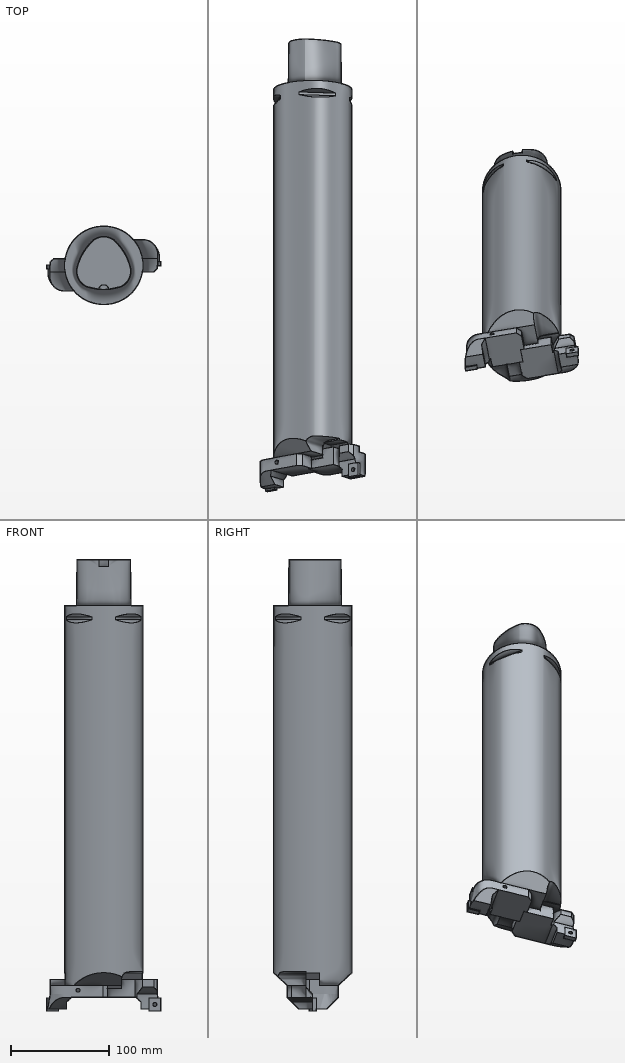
import cadquery as cq
import math

overall_height = 459.0
shoulder_z = 412.5
bar_bottom_z = 26.0
plate_bottom_z = 14.0
block_top_z = 32.0
arm_bottom_z = 2.0

bar_radius = 80.0 / 2
nose_half_width = 26.0
nose_top_z = 39.0
seat_inner_x = 18.0
slot_half_width = 7.0
slot_top_z = 38.5
gullet_top_z = 40.0
gullet_radius = 8.3

lobe_reach = 29.0
flank_reach = 24.5
lobe_edge_reach = 27.5
lobe_half_angle = 21.5
coupling_flare = 0.5
key_notch_radius = 5.0
key_notch_depth = 7.0
key_notch_y = -25.0

groove_z = 399.5
groove_depth = 4.5
groove_floor_width = 2.8
groove_mouth_width = 9.0
groove_angles = (45, 135, 225, 315)

plate_back_y = nose_half_width
plate_corner_radius = 14.2
arm_corner_radius = 19.0
plate_end_x = -3.5
plate_end_chamfer = 4.5
head_end_x = 54.5
head_end_chamfer = 3.5
arm_end_x = 57.0
flare_top_z = 17.0
ledge_z = 23.0
ledge_depth = 2.5
arm_root_x = 33.0
arm_inner_x = 37.5
rake_y = -0.5
chip_pocket_x = 31.5
chip_pocket_top_z = 24.5
chip_pocket_low_z = 17.5
scoop_end_x = 39.5
scoop_depth = 9.0
plate_hole_x = 26.0
plate_hole_z = 21.0
plate_hole_diameter = 4.0
plate_hole_depth = 4.5

insert_inner_x = 46.0
insert_outer_x = 116.0 / 2
insert_height = 13.5
insert_thickness = 4.0
insert_hole_diameter = 4.0

margin = 4.5
head_angles = (0, 180)


def box(x_range, y_range, z_range):
    """Axis-aligned block between the given limits."""
    (x0, x1), (y0, y1), (z0, z1) = x_range, y_range, z_range
    return cq.Workplane("XY").box(x1 - x0, y1 - y0, z1 - z0, centered=False).translate((x0, y0, z0))


def about_axis(shape, angle):
    """Shape turned about the tool axis."""
    return shape.rotate((0, 0, 0), (0, 0, 1), angle)


def polar(radius, angle):
    return (radius * math.cos(math.radians(angle)), radius * math.sin(math.radians(angle)))


def lobed_outline(plane, growth):
    """Three rounded lobes joined by three flatter arcs, one lobe pointing to +Y."""
    outline = plane.moveTo(*polar(lobe_edge_reach + growth, 90 - lobe_half_angle))
    for lobe_angle in (90, 210, 330):
        outline = outline.threePointArc(
            polar(lobe_reach + growth, lobe_angle),
            polar(lobe_edge_reach + growth, lobe_angle + lobe_half_angle),
        ).threePointArc(
            polar(flank_reach + growth, lobe_angle + 60),
            polar(lobe_edge_reach + growth, lobe_angle + 120 - lobe_half_angle),
        )
    return outline.close()


def make_coupling():
    """Tapered coupling shank with a key notch in its top edge."""
    root = lobed_outline(cq.Workplane("XY").workplane(offset=shoulder_z), coupling_flare)
    shank = lobed_outline(root.workplane(offset=overall_height - shoulder_z), 0).loft(ruled=True)
    notch = (
        cq.Workplane("XY", origin=(0, key_notch_y, overall_height - key_notch_depth))
        .circle(key_notch_radius)
        .extrude(key_notch_depth + margin)
    )
    return shank.cut(notch)


def make_groove():
    """Cutter for one gripper groove on the +X side: a straight trapezoidal channel."""
    floor_x = bar_radius - groove_depth
    half_floor = groove_floor_width / 2
    half_mouth = groove_mouth_width / 2
    return (
        cq.Workplane("XZ")
        .polyline([
            (floor_x, groove_z - half_floor),
            (bar_radius, groove_z - half_mouth),
            (bar_radius, groove_z + half_mouth),
            (floor_x, groove_z + half_floor),
        ])
        .close()
        .extrude(bar_radius, both=True)
    )


def make_nose_bevel():
    """Cutter that slopes the -Y side of the lower end."""
    return (
        cq.Workplane("YZ")
        .polyline([
            (-nose_half_width, bar_bottom_z),
            (-bar_radius, nose_top_z),
            (-bar_radius - margin, nose_top_z),
            (-bar_radius - margin, bar_bottom_z),
        ])
        .close()
        .extrude(bar_radius, both=True)
    )


def make_head_seat():
    """Cutter for the slot that takes the block of the +X head and for the gullet beside it."""
    outer_x = bar_radius + margin
    low_z = bar_bottom_z - margin
    slot = box((seat_inner_x, outer_x), (-slot_half_width, slot_half_width), (low_z, slot_top_z))
    gullet = box((seat_inner_x, outer_x), (-outer_x, -slot_half_width), (low_z, gullet_top_z))
    gullet = gullet.edges("<X and >Z").fillet(gullet_radius)
    return slot.union(gullet)


def make_bar():
    bar = (
        cq.Workplane("XY", origin=(0, 0, bar_bottom_z))
        .circle(bar_radius)
        .extrude(shoulder_z - bar_bottom_z)
        .union(make_coupling())
    )
    for angle in groove_angles:
        bar = bar.cut(about_axis(make_groove(), angle))
    for angle in head_angles:
        bar = bar.cut(about_axis(make_nose_bevel(), angle))
        bar = bar.cut(about_axis(make_head_seat(), angle))
    return bar


def head_outline(plane, end_x, corner_radius):
    """Plan of the +X head: block at -Y, plate with a round corner at +Y."""
    corner_x = end_x - corner_radius
    corner_y = plate_back_y - corner_radius
    diagonal = corner_radius * math.sqrt(0.5)
    return (
        plane.moveTo(0, -slot_half_width)
        .lineTo(end_x - head_end_chamfer, -slot_half_width)
        .lineTo(end_x, head_end_chamfer - slot_half_width)
        .lineTo(end_x, corner_y)
        .threePointArc((corner_x + diagonal, corner_y + diagonal), (corner_x, plate_back_y))
        .lineTo(plate_end_x + plate_end_chamfer, plate_back_y)
        .lineTo(plate_end_x, plate_back_y - plate_end_chamfer)
        .lineTo(plate_end_x, slot_half_width)
        .lineTo(0, slot_half_width)
        .close()
    )


def make_head_blank():
    """Plate, seated block, and arm whose end slopes outward below the plate."""
    arm = head_outline(cq.Workplane("XY", origin=(0, 0, arm_bottom_z)), arm_end_x, arm_corner_radius)
    arm = arm.workplane(offset=flare_top_z - arm_bottom_z)
    arm = head_outline(arm, head_end_x, plate_corner_radius).loft(ruled=True)
    plate = head_outline(cq.Workplane("XY", origin=(0, 0, flare_top_z)), head_end_x, plate_corner_radius)
    plate = plate.extrude(bar_bottom_z - flare_top_z)
    block = box(
        (seat_inner_x, head_end_x),
        (-slot_half_width, slot_half_width),
        (bar_bottom_z, block_top_z),
    )
    block = block.edges("|Z and >X and <Y").chamfer(head_end_chamfer)
    return plate.union(arm).union(block)


def make_underside_clearance():
    """Cutter below the plate, leaving only the arm at the outer end."""
    bend = arm_inner_x - arm_root_x
    return (
        cq.Workplane("XZ")
        .moveTo(plate_end_x - margin, plate_bottom_z)
        .lineTo(arm_root_x, plate_bottom_z)
        .lineTo(arm_inner_x, plate_bottom_z - bend)
        .lineTo(arm_inner_x, arm_bottom_z - margin)
        .lineTo(plate_end_x - margin, arm_bottom_z - margin)
        .close()
        .extrude(plate_back_y + margin, both=True)
    )


def make_back_bevel():
    """Cutter for the 45 degree slope under the back of the arm."""
    drop = plate_bottom_z - arm_bottom_z + margin
    return (
        cq.Workplane("YZ")
        .polyline([
            (plate_back_y, plate_bottom_z),
            (plate_back_y - drop, plate_bottom_z - drop),
            (plate_back_y, plate_bottom_z - drop),
        ])
        .close()
        .extrude(arm_end_x + margin)
    )


def make_chip_pocket():
    """Cutter for the chip space in front of the insert, with a sloped roof and a side scoop."""
    front_y = -slot_half_width
    low_z = arm_bottom_z - margin
    pocket = (
        cq.Workplane("YZ", origin=(chip_pocket_x, 0, 0))
        .polyline([
            (front_y, chip_pocket_top_z),
            (rake_y, chip_pocket_low_z),
            (rake_y, low_z),
            (front_y, low_z),
        ])
        .close()
        .extrude(arm_end_x + margin - chip_pocket_x)
    )
    scoop = (
        cq.Workplane("XY", origin=(0, 0, low_z))
        .polyline([
            (chip_pocket_x, front_y),
            (scoop_end_x, front_y),
            (chip_pocket_x, front_y + scoop_depth),
        ])
        .close()
        .extrude(block_top_z + margin - low_z)
    )
    return pocket.union(scoop)


def make_plate_hole():
    """Cutter for the small blind hole in the outer face of the plate."""
    return (
        cq.Workplane("XZ", origin=(plate_hole_x, plate_back_y, plate_hole_z))
        .circle(plate_hole_diameter / 2)
        .extrude(plate_hole_depth)
    )


def insert_block():
    """Solid envelope of the +X insert."""
    return box(
        (insert_inner_x, insert_outer_x),
        (rake_y, rake_y + insert_thickness),
        (0, insert_height),
    )


def make_head():
    ledge = box(
        (0, seat_inner_x),
        (-slot_half_width, ledge_depth - slot_half_width),
        (ledge_z, block_top_z),
    )
    return (
        make_head_blank()
        .cut(ledge)
        .cut(make_underside_clearance())
        .cut(make_back_bevel())
        .cut(make_chip_pocket())
        .cut(make_plate_hole())
        .cut(insert_block())
    )


def make_insert():
    """Block-shaped insert with its screw hole."""
    return insert_block().faces("<Y").workplane(centerOption="CenterOfBoundBox").hole(insert_hole_diameter)


bar = make_bar()
heads = [about_axis(make_head(), angle) for angle in head_angles]
inserts = [about_axis(make_insert(), angle) for angle in head_angles]

result = cq.Compound.makeCompound([
    bar.val(),
    *[head.val() for head in heads],
    *[insert.val() for insert in inserts],
])